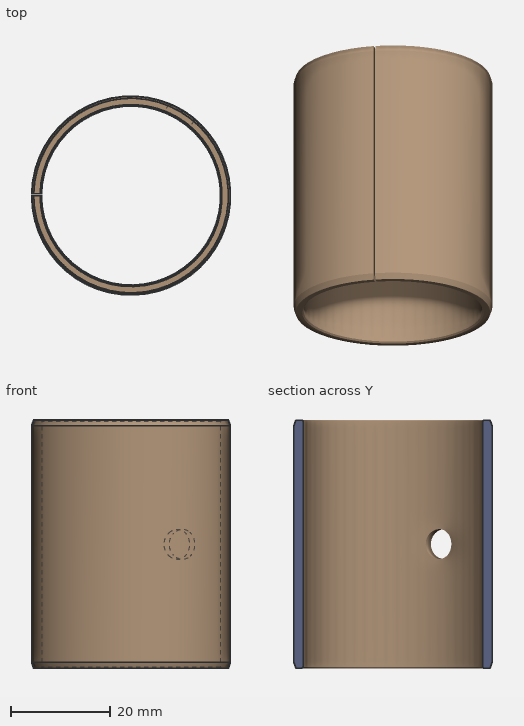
import cadquery as cq
import math

OUTER_DIAMETER = 40.0
WALL = 2.0
LENGTH = 50.0

OUTER_CHAMFER_LENGTH = 1.2
OUTER_CHAMFER_ANGLE = 20.0

INNER_CHAMFER = 0.3

JOINT_EDGE_ANGLE = 180.0
JOINT_GAP_ANGLE = 1.0

OIL_HOLE_DIAMETER = 6.0
OIL_HOLE_ANGLE = 59.0
OIL_HOLE_HEIGHT = LENGTH / 2

outer_radius = OUTER_DIAMETER / 2
inner_radius = outer_radius - WALL
outer_chamfer_depth = OUTER_CHAMFER_LENGTH * math.tan(math.radians(OUTER_CHAMFER_ANGLE))


def make_split_sleeve():
    """Split tube with chamfered ends: the wall section swept from one joint edge to the other."""
    wall_section = [
        (inner_radius + INNER_CHAMFER, 0),
        (outer_radius - outer_chamfer_depth, 0),
        (outer_radius, OUTER_CHAMFER_LENGTH),
        (outer_radius, LENGTH - OUTER_CHAMFER_LENGTH),
        (outer_radius - outer_chamfer_depth, LENGTH),
        (inner_radius + INNER_CHAMFER, LENGTH),
        (inner_radius, LENGTH - INNER_CHAMFER),
        (inner_radius, INNER_CHAMFER),
    ]
    return (
        cq.Workplane("XZ")
        .polyline(wall_section)
        .close()
        .revolve(360 - JOINT_GAP_ANGLE, (0, 0), (0, 1))
        .rotate((0, 0, 0), (0, 0, 1), JOINT_EDGE_ANGLE)
    )


def make_oil_hole_cutter():
    """Radial cylinder from the axis out through one side of the wall."""
    return (
        cq.Workplane("YZ")
        .center(0, OIL_HOLE_HEIGHT)
        .circle(OIL_HOLE_DIAMETER / 2)
        .extrude(OUTER_DIAMETER)
        .rotate((0, 0, 0), (0, 0, 1), OIL_HOLE_ANGLE)
    )


result = make_split_sleeve().cut(make_oil_hole_cutter())